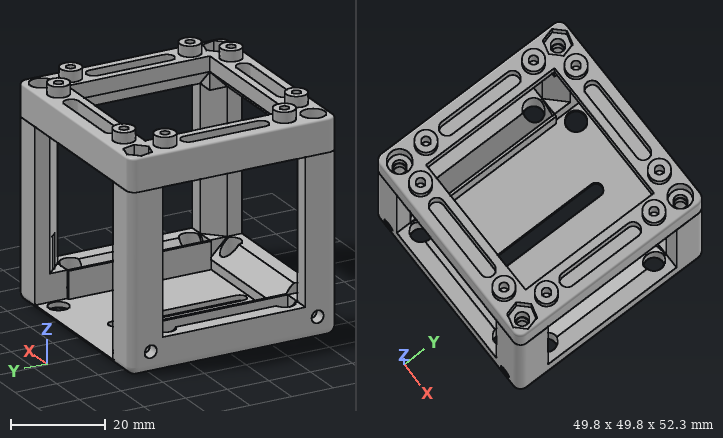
import cadquery as cq
import math

side = 49.8
half_side = side / 2
cube_height = side
layer = 7.8
lid_bottom = cube_height - layer
window = cube_height - 2 * layer
half_window = window / 2
corner_radius = 2.0
bottom_radius = 2.0
lid_edge_radius = 0.6
inner_bevel = 4.25

total_height = 52.3
boss_height = total_height - cube_height
boss_diameter = 4.95
boss_hole_diameter = 2.05
boss_hole_depth = 5.0
socket_diameter = 4.7
rail = 20.7
boss_offset = 14.35

lid_slot_length = 20.9
lid_slot_width = 3.45
lid_slot_depth = 4.0

screw_place = 21.1
screw_hole_diameter = 3.1
head_diameter = 5.5
head_depth = 5.0
nut_across_flats = 5.5
nut_depth = 3.2
post_bore_height = 15.5

post_hole_diameter = 2.8
side_hole_diameter = 2.9
blind_hole_depth = 3.0
drill_tip_angle = 118
side_hole_place = 20.05
side_hole_height = 5.0

floor_thickness = 1.3
tray_width = 32.95
floor_slot_length = 32.95
floor_slot_width = 3.1

CORNERS = [(1, 1), (-1, 1), (-1, -1), (1, -1)]
TURN_TO_PLUS_X, TURN_TO_PLUS_Y, TURN_TO_MINUS_X, TURN_TO_MINUS_Y = 0, 90, 180, 270
ALL_TURNS = (TURN_TO_PLUS_X, TURN_TO_PLUS_Y, TURN_TO_MINUS_X, TURN_TO_MINUS_Y)
UP = 1
DOWN = -1


def plane_at(height):
    """Horizontal workplane at a height."""
    return cq.Workplane("XY").workplane(offset=height)


def block(x_size, y_size, z_low, z_high):
    """Box centred on the Z axis between two heights."""
    return plane_at(z_low).rect(x_size, y_size).extrude(z_high - z_low)


def turned(shape, angle):
    """Shape turned about the Z axis."""
    return shape.rotate((0, 0, 0), (0, 0, 1), angle)


def boss_points():
    """Two places along each of the four sides."""
    y_sides = [(x_sign * boss_offset, y_sign * rail) for x_sign, y_sign in CORNERS]
    x_sides = [(x_sign * rail, y_sign * boss_offset) for x_sign, y_sign in CORNERS]
    return y_sides + x_sides


def bar_trough(mating_height, direction):
    """Triangular cutter that bevels the inner edge of the +X bar, up or down from a height."""
    corners = [
        (half_window, mating_height),
        (half_window + inner_bevel, mating_height),
        (half_window, mating_height + direction * inner_bevel),
    ]
    return cq.Workplane("XZ").polyline(corners).close().extrude(half_window, both=True)


def drilled_hole(diameter, mouth, direction):
    """Cutter for a blind hole with a conical end, starting at its mouth."""
    radius = diameter / 2
    tip_length = radius / math.tan(math.radians(drill_tip_angle / 2))
    start = cq.Vector(*mouth)
    way = cq.Vector(*direction)
    bore = cq.Solid.makeCylinder(radius, blind_hole_depth, start, way)
    tip = cq.Solid.makeCone(radius, 0, tip_length, start + way * blind_hole_depth, way)
    return cq.Workplane(bore.fuse(tip))


def cut_windows(base):
    """Opens the four sides above the bars and bevels the inside of the posts."""
    base = base.cut(block(side, window, layer, lid_bottom))
    base = base.cut(block(window, side, layer, lid_bottom))
    bevelled_width = window + 2 * inner_bevel
    octagon = block(bevelled_width, bevelled_width, layer, lid_bottom).edges("|Z").chamfer(inner_bevel)
    return base.cut(octagon)


def cut_tray(base):
    """Hollows the bottom down to the floor, through the +Y side, and bevels the other three bars."""
    base = base.cut(block(tray_width, window, floor_thickness, layer))
    bar_width = half_side - half_window
    exit_gap = block(window, bar_width, floor_thickness, layer)
    base = base.cut(exit_gap.translate((0, half_window + bar_width / 2, 0)))
    trough = bar_trough(layer, DOWN)
    for turn in (TURN_TO_PLUS_X, TURN_TO_MINUS_X, TURN_TO_MINUS_Y):
        base = base.cut(turned(trough, turn))
    slot = plane_at(0).slot2D(floor_slot_length, floor_slot_width, 90).extrude(floor_thickness)
    return base.cut(slot)


def cut_base_holes(base):
    """Boss sockets, screw holes in the post tops, holes in the -X and -Y faces, and the post bore."""
    base = base.cut(plane_at(0).pushPoints(boss_points()).circle(socket_diameter / 2).extrude(layer))
    for x_sign, y_sign in CORNERS:
        post_top = (x_sign * screw_place, y_sign * screw_place, lid_bottom)
        base = base.cut(drilled_hole(post_hole_diameter, post_top, (0, 0, -1)))
    for sign in (1, -1):
        front_mouth = (sign * side_hole_place, -half_side, side_hole_height)
        left_mouth = (-half_side, sign * side_hole_place, side_hole_height)
        base = base.cut(drilled_hole(side_hole_diameter, front_mouth, (0, 1, 0)))
        base = base.cut(drilled_hole(side_hole_diameter, left_mouth, (1, 0, 0)))
    post_bore = plane_at(0).center(screw_place, screw_place).circle(head_diameter / 2)
    return base.cut(post_bore.extrude(post_bore_height))


def make_base():
    base = block(side, side, 0, lid_bottom).edges("|Z").fillet(corner_radius)
    base = base.faces("<Z").edges().fillet(bottom_radius)
    base = cut_windows(base)
    base = cut_tray(base)
    return cut_base_holes(base)


def make_frame():
    """Square lid ring with a rounded top edge and a bevel below the inside of each bar."""
    frame = block(side, side, lid_bottom, cube_height).edges("|Z").fillet(corner_radius)
    frame = frame.faces(">Z").edges().fillet(lid_edge_radius)
    frame = frame.cut(block(window, window, lid_bottom, cube_height))
    trough = bar_trough(lid_bottom, UP)
    for turn in ALL_TURNS:
        frame = frame.cut(turned(trough, turn))
    return frame


def add_bosses(lid):
    bosses = plane_at(cube_height).pushPoints(boss_points()).circle(boss_diameter / 2).extrude(boss_height)
    holes = plane_at(total_height).pushPoints(boss_points()).circle(boss_hole_diameter / 2)
    return lid.union(bosses).cut(holes.extrude(-boss_hole_depth))


def cut_lid_slots(lid):
    slot = plane_at(cube_height).center(rail, 0).slot2D(lid_slot_length, lid_slot_width, 90)
    slot = slot.extrude(-lid_slot_depth)
    for turn in ALL_TURNS:
        lid = lid.cut(turned(slot, turn))
    return lid


def cut_screw_corners(lid):
    """Screw holes with a round recess on one diagonal and a hexagonal one on the other."""
    nut_across_corners = nut_across_flats / math.cos(math.pi / 6)
    for x_sign, y_sign in CORNERS:
        corner = plane_at(cube_height).center(x_sign * screw_place, y_sign * screw_place)
        lid = lid.cut(corner.circle(screw_hole_diameter / 2).extrude(-layer))
        if x_sign == y_sign:
            recess = corner.circle(head_diameter / 2).extrude(-head_depth)
        else:
            turned_corner = corner.transformed(rotate=(0, 0, 45))
            recess = turned_corner.polygon(6, nut_across_corners).extrude(-nut_depth)
        lid = lid.cut(recess)
    return lid


def make_lid():
    lid = make_frame()
    lid = add_bosses(lid)
    lid = cut_lid_slots(lid)
    return cut_screw_corners(lid)


base = make_base()
lid = make_lid()

result = cq.Compound.makeCompound([base.solids().val(), lid.solids().val()])